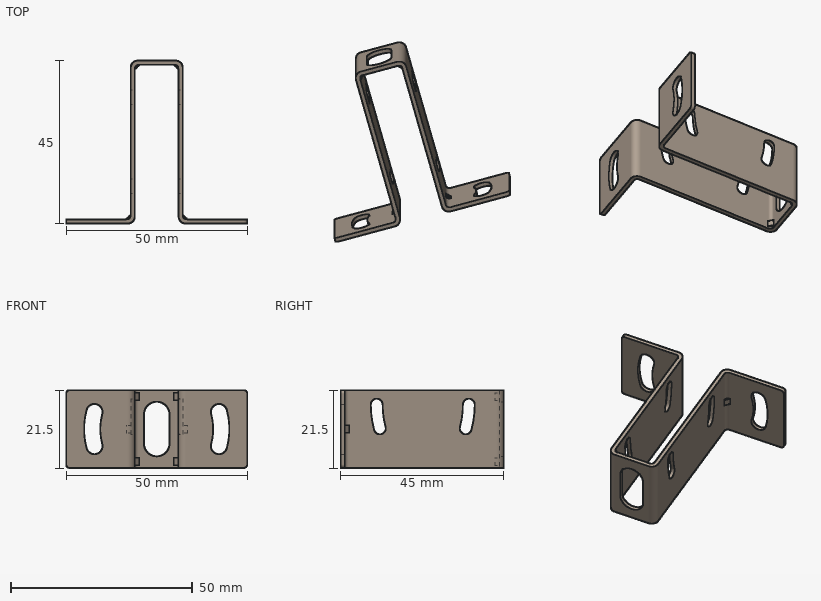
import cadquery as cq
import math

overall_width = 50
overall_depth = 45
overall_height = 21.5
thickness = 1.2
channel_width = 12
inner_bend_radius = 1
outer_bend_radius = 2
flange_corner_radius = 1

web_slot_width = 7
web_slot_length = 15

flange_slot_width = 4.4
flange_slot_radius = 17.8
flange_slot_half_angle = 15.3

wall_slot_width = 3.2
wall_slot_radius = 25.4
wall_slot_front_y = 9.95
wall_slot_top_z = 6.75
wall_slot_sweep = 15

gusset_leg = 1.25
gusset_height = 2
web_gusset_z = 8.95

half_width = overall_width / 2
inner_x = channel_width / 2
outer_x = inner_x + thickness
web_inner_y = overall_depth - thickness


def bent_strip():
    """Hat profile in plan, extruded symmetrically along Z."""
    strip = (
        cq.Workplane("XY")
        .polyline([
            (-half_width, 0),
            (-inner_x, 0),
            (-inner_x, web_inner_y),
            (inner_x, web_inner_y),
            (inner_x, 0),
            (half_width, 0),
            (half_width, thickness),
            (outer_x, thickness),
            (outer_x, overall_depth),
            (-outer_x, overall_depth),
            (-outer_x, thickness),
            (-half_width, thickness),
        ])
        .close()
        .extrude(overall_height / 2, both=True)
    )
    outside_bends = [(side * inner_x, 0) for side in (-1, 1)]
    outside_bends += [(side * outer_x, overall_depth) for side in (-1, 1)]
    inside_bends = [(side * outer_x, thickness) for side in (-1, 1)]
    inside_bends += [(side * inner_x, web_inner_y) for side in (-1, 1)]
    for bends, radius in ((outside_bends, outer_bend_radius), (inside_bends, inner_bend_radius)):
        for x, y in bends:
            edge = strip.edges(cq.selectors.NearestToPointSelector((x, y, 0)))
            strip = strip.newObject(edge.vals()).fillet(radius)
    return strip.edges("|Y and (<X or >X)").fillet(flange_corner_radius)


def curved_slot(plane, center, radius, width, start_angle, end_angle):
    """Closed arc-slot outline with round ends; angles in degrees, counterclockwise."""
    def polar(distance, angle):
        turn = math.radians(angle)
        return (center[0] + distance * math.cos(turn), center[1] + distance * math.sin(turn))

    inner = radius - width / 2
    outer = radius + width / 2
    middle_angle = (start_angle + end_angle) / 2
    return (
        cq.Workplane(plane)
        .moveTo(*polar(outer, start_angle))
        .threePointArc(polar(outer, middle_angle), polar(outer, end_angle))
        .tangentArcPoint(polar(inner, end_angle), relative=False)
        .threePointArc(polar(inner, middle_angle), polar(inner, start_angle))
        .tangentArcPoint(polar(outer, start_angle), relative=False)
        .close()
    )


def gusset(corner_x, corner_y, x_direction, y_direction, center_z):
    """Triangular prism whose outer corner lies where the flat faces of a bend would meet."""
    return (
        cq.Workplane("XY", origin=(corner_x, corner_y, center_z))
        .polyline([
            (0, 0),
            (x_direction * gusset_leg, 0),
            (0, y_direction * gusset_leg),
        ])
        .close()
        .extrude(gusset_height / 2, both=True)
    )


result = bent_strip()

for side in (-1, 1):
    result = result.union(gusset(side * outer_x, thickness, side, 1, 0))
    for level in (-1, 1):
        result = result.union(gusset(side * inner_x, web_inner_y, -side, -1, level * web_gusset_z))

web_slot = (
    cq.Workplane("XZ", origin=(0, overall_depth, 0))
    .slot2D(web_slot_length, web_slot_width, 90)
    .extrude(thickness)
)
result = result.cut(web_slot)

for middle_angle in (0, 180):
    flange_slot = curved_slot(
        "XZ", (0, 0), flange_slot_radius, flange_slot_width,
        middle_angle - flange_slot_half_angle, middle_angle + flange_slot_half_angle,
    ).extrude(-thickness)
    result = result.cut(flange_slot)

wall_slot_back_y = wall_slot_front_y + wall_slot_radius
for pivot_y, start_angle, end_angle in (
    (wall_slot_front_y, -wall_slot_sweep, 0),
    (wall_slot_back_y, 180, 180 + wall_slot_sweep),
):
    wall_slot = curved_slot(
        "YZ", (pivot_y, wall_slot_top_z), wall_slot_radius, wall_slot_width,
        start_angle, end_angle,
    ).extrude(outer_x, both=True)
    result = result.cut(wall_slot)